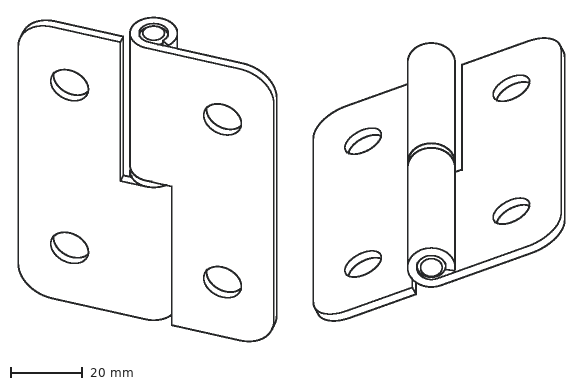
import cadquery as cq
import math

total_height = 100.2
total_width = 75.0

leaf_top = total_height / 2
leaf_bottom = -leaf_top
corner_radius = 10.0
plate_edge_gap = 7.5
hole_diameter = 11.0
hole_x = 22.4
hole_spacing = 60.0

knuckle_diameter = 13.2
bore_diameter = 8.1
knuckle_radius = knuckle_diameter / 2
bore_radius = bore_diameter / 2
sheet_thickness = knuckle_radius - bore_radius
roll_end_angle = 33.0

washer_diameter = 13.0
washer_thickness = 2.2
pin_diameter = 8.0
pin_chamfer = 1.0
knuckle_top = -washer_thickness / 2
knuckle_height = knuckle_top - leaf_bottom


def make_plate():
    """Flat L-shaped plate on the -X side, with rounded outer corners and screw holes."""
    outer_x = -total_width / 2
    plate = (
        cq.Workplane("XZ", origin=(0, -bore_radius, 0))
        .moveTo(outer_x, leaf_bottom)
        .lineTo(0, leaf_bottom)
        .lineTo(0, knuckle_top)
        .lineTo(-plate_edge_gap, knuckle_top)
        .lineTo(-plate_edge_gap, leaf_top)
        .lineTo(outer_x, leaf_top)
        .close()
        .extrude(sheet_thickness)
        .edges("|Y and <X")
        .fillet(corner_radius)
    )
    holes = (
        cq.Workplane("XZ", origin=(0, -bore_radius, 0))
        .pushPoints([(-hole_x, side * hole_spacing / 2) for side in (-1, 1)])
        .circle(hole_diameter / 2)
        .extrude(sheet_thickness)
    )
    return plate.cut(holes)


def make_roll():
    """Open ring that curls from the plate's tangent line round the +X side and over the top."""
    end_angle = math.radians(180 + roll_end_angle)
    end_x = math.cos(end_angle)
    end_y = math.sin(end_angle)
    middle_angle = (end_angle - math.pi / 2) / 2
    middle_x = math.cos(middle_angle)
    middle_y = math.sin(middle_angle)
    return (
        cq.Workplane("XY", origin=(0, 0, leaf_bottom))
        .moveTo(0, -knuckle_radius)
        .threePointArc(
            (knuckle_radius * middle_x, knuckle_radius * middle_y),
            (knuckle_radius * end_x, knuckle_radius * end_y),
        )
        .lineTo(bore_radius * end_x, bore_radius * end_y)
        .threePointArc(
            (bore_radius * middle_x, bore_radius * middle_y),
            (0, -bore_radius),
        )
        .close()
        .extrude(knuckle_height)
    )


def make_leaf(turn):
    """Plate and roll as one body, turned about the Y axis by the given angle."""
    leaf = make_plate().union(make_roll())
    return leaf.rotate((0, 0, 0), (0, 1, 0), turn)


def make_washer():
    """Flat ring between the two knuckles."""
    return (
        cq.Workplane("XY", origin=(0, 0, -washer_thickness / 2))
        .circle(washer_diameter / 2)
        .circle(pin_diameter / 2)
        .extrude(washer_thickness)
    )


def make_pin():
    """Full-height pin with chamfered ends, flush with the knuckle ends."""
    return (
        cq.Workplane("XY", origin=(0, 0, leaf_bottom))
        .circle(pin_diameter / 2)
        .extrude(total_height)
        .faces("<Z or >Z")
        .chamfer(pin_chamfer)
    )


leaves = [make_leaf(turn) for turn in (0, 180)]
washer = make_washer()
pin = make_pin()

result = cq.Compound.makeCompound([*[leaf.val() for leaf in leaves], washer.val(), pin.val()])